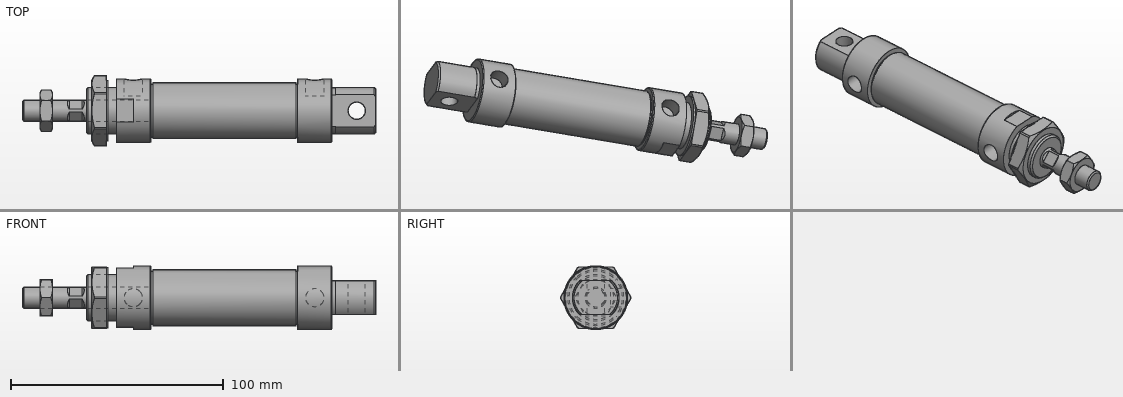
import cadquery as cq
import math


rod_diameter = 10.0
rod_tip_diameter = 8.65
rod_end = 60.0
rod_flat_start = 22.0
rod_flat_end = 28.0
rod_flat_width = 8.0

rod_nut_start = 8.1
rod_nut_thickness = 6.0
rod_nut_width = 17.0
rod_nut_chamfer_diameter = 16.8
nut_chamfer_angle = 30.0

mount_nut_start = 32.4
mount_nut_thickness = 7.8
mount_nut_width = 29.0
mount_nut_corner_diameter = 33.0
mount_nut_face_diameter = 28.4
mount_nut_collar = 0.8

thread_diameter = 22.0
thread_chamfer_diameter = 20.38
cap_diameter = 30.0
cap_chamfer = 0.5
groove_diameter = 25.0
tube_diameter = 26.4
neck_start = 30.0
head_start = 44.0
head_end = 60.4
tube_start = 61.2
tube_end = 128.4
rear_cap_start = 129.2
rear_cap_end = 145.4
tongue_neck_diameter = 21.7
tongue_neck_end = 147.0
body_end = 166.0

head_flat_width = 28.0
head_flat_length = 8.0
port_diameter = 8.57
port_depth = 8.0
port_positions = (52.0, 137.3)
tongue_thickness = 16.0
pivot_hole_diameter = 8.0
pivot_hole_from_end = 9.0


def turned(profile):
    """Revolve (x, diameter) stations about the X axis."""
    start_x = profile[0][0]
    end_x = profile[-1][0]
    rim = [(x, diameter / 2) for x, diameter in profile]
    outline = [(start_x, 0)] + rim + [(end_x, 0)]
    return cq.Workplane("XY").polyline(outline).close().revolve(360, (0, 0, 0), (1, 0, 0))


def rod_bar(start, end):
    """Plain round bar of the rod diameter."""
    return turned([(start, rod_diameter), (end, rod_diameter)])


def hexagon(start, thickness, width):
    """Hexagonal prism along X with two flats facing up and down."""
    corner_diameter = width / math.cos(math.radians(30))
    return cq.Workplane("YZ", origin=(start, 0, 0)).polygon(6, corner_diameter).extrude(thickness)


def chamfer_length(corner_diameter, face_diameter):
    """Axial length of a nut's conical corner chamfer."""
    return (corner_diameter - face_diameter) / 2 * math.tan(math.radians(nut_chamfer_angle))


def make_rod():
    tip_chamfer = (rod_diameter - rod_tip_diameter) / 2
    rod = turned([
        (0, rod_tip_diameter),
        (tip_chamfer, rod_diameter),
        (rod_end, rod_diameter),
    ])
    flat_depth = (rod_diameter - rod_flat_width) / 2
    for angle in (45, 135, 225, 315):
        cutter = (
            cq.Workplane("XZ")
            .polyline([
                (rod_flat_start, rod_flat_width / 2),
                (rod_flat_end, rod_flat_width / 2),
                (rod_flat_end + flat_depth, rod_diameter / 2),
                (rod_flat_start - flat_depth, rod_diameter / 2),
            ])
            .close()
            .extrude(rod_diameter / 2, both=True)
            .rotate((0, 0, 0), (1, 0, 0), angle)
        )
        rod = rod.cut(cutter)
    return rod


def make_rod_nut():
    end = rod_nut_start + rod_nut_thickness
    corner_diameter = rod_nut_width / math.cos(math.radians(30))
    chamfer = chamfer_length(corner_diameter, rod_nut_chamfer_diameter)
    envelope = turned([
        (rod_nut_start, rod_nut_chamfer_diameter),
        (rod_nut_start + chamfer, corner_diameter),
        (end - chamfer, corner_diameter),
        (end, rod_nut_chamfer_diameter),
    ])
    nut = hexagon(rod_nut_start, rod_nut_thickness, rod_nut_width).intersect(envelope)
    return nut.cut(rod_bar(rod_nut_start, end))


def make_mount_nut():
    end = mount_nut_start + mount_nut_thickness
    collar_start = end - mount_nut_collar
    chamfer = chamfer_length(mount_nut_corner_diameter, mount_nut_face_diameter)
    envelope = turned([
        (mount_nut_start, mount_nut_face_diameter),
        (mount_nut_start + chamfer, mount_nut_corner_diameter),
        (collar_start, mount_nut_corner_diameter),
        (collar_start, mount_nut_face_diameter),
        (end, mount_nut_face_diameter),
    ])
    nut = hexagon(mount_nut_start, mount_nut_thickness, mount_nut_width).intersect(envelope)
    return nut.cut(turned([(mount_nut_start, thread_diameter), (end, thread_diameter)]))


def make_body():
    thread_chamfer = (thread_diameter - thread_chamfer_diameter) / 2
    cap_chamfer_diameter = cap_diameter - 2 * cap_chamfer
    front = turned([
        (neck_start, thread_chamfer_diameter),
        (neck_start + thread_chamfer, thread_diameter),
        (head_start, thread_diameter),
        (head_start, cap_diameter),
        (head_end - cap_chamfer, cap_diameter),
        (head_end, cap_chamfer_diameter),
        (head_end, groove_diameter),
        (tube_start, groove_diameter),
        (tube_start, tube_diameter),
        (tube_end, tube_diameter),
        (tube_end, groove_diameter),
        (rear_cap_start, groove_diameter),
        (rear_cap_start, cap_diameter),
        (rear_cap_end - cap_chamfer, cap_diameter),
        (rear_cap_end, cap_chamfer_diameter),
    ])
    tongue = turned([
        (rear_cap_end, tongue_neck_diameter),
        (tongue_neck_end, tongue_neck_diameter),
        (tongue_neck_end, thread_diameter),
        (body_end - thread_chamfer, thread_diameter),
        (body_end, thread_chamfer_diameter),
    ])
    tongue_slab = cq.Workplane("XY").box(2 * body_end, thread_diameter, tongue_thickness)
    body = front.union(tongue.intersect(tongue_slab))

    for side in (1, -1):
        flat_cutter = cq.Workplane("XY").box(
            head_flat_length, cap_diameter, cap_diameter, centered=(False, True, True)
        ).translate((head_start, 0, side * (head_flat_width + cap_diameter) / 2))
        body = body.cut(flat_cutter)

    for x in port_positions:
        port = (
            cq.Workplane("XZ", origin=(x, cap_diameter / 2, 0))
            .circle(port_diameter / 2)
            .extrude(port_depth)
        )
        body = body.cut(port)

    pivot_hole = (
        cq.Workplane("XY", origin=(body_end - pivot_hole_from_end, 0, 0))
        .circle(pivot_hole_diameter / 2)
        .extrude(tongue_thickness, both=True)
    )
    body = body.cut(pivot_hole)

    return body.cut(rod_bar(neck_start, rod_end))


rod = make_rod()
rod_nut = make_rod_nut()
mount_nut = make_mount_nut()
body = make_body()

result = cq.Compound.makeCompound([
    rod.val(),
    rod_nut.val(),
    mount_nut.val(),
    body.val(),
])